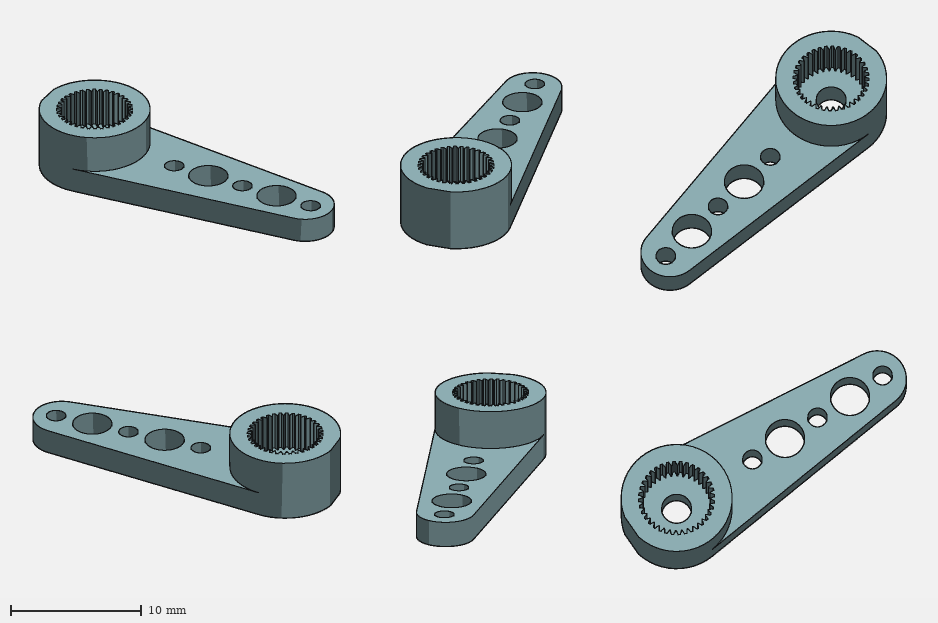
import cadquery as cq
import math

overall_length = 24.9
hub_radius = 4.25
hub_height = 5.0
arm_thickness = 2.0
tip_radius = 2.25

flat_width = 1.92
flat_distance = math.sqrt(hub_radius**2 - (flat_width / 2) ** 2)
tip_center_x = overall_length - flat_distance - tip_radius

tooth_count = 36
spline_root_radius = 2.9
spline_crest_radius = 2.6
root_land_width = 0.17
crest_land_width = 0.05
socket_depth = 3.1
screw_hole_diameter = 2.3

hole_count = 5
first_hole_x = 7.0
last_hole_x = 19.0
hole_pitch = (last_hole_x - first_hole_x) / (hole_count - 1)
small_hole_diameter = 1.5
large_hole_diameter = 3.0


def make_hub():
    """Round hub with one flat facing -X."""
    hub = cq.Workplane("XY").circle(hub_radius).extrude(hub_height)
    kept_length = flat_distance + hub_radius
    keep_box = cq.Workplane("XY").box(
        kept_length, 2 * hub_radius, hub_height, centered=(False, True, False)
    )
    return hub.intersect(keep_box.translate((-flat_distance, 0, 0)))


def make_arm():
    """Tapered plate whose straight sides are tangent to the hub and to the round tip."""
    taper_sine = (hub_radius - tip_radius) / tip_center_x
    taper_cosine = math.sqrt(1 - taper_sine**2)
    hub_x = hub_radius * taper_sine
    hub_y = hub_radius * taper_cosine
    tip_x = tip_center_x + tip_radius * taper_sine
    tip_y = tip_radius * taper_cosine
    return (
        cq.Workplane("XY")
        .moveTo(hub_x, -hub_y)
        .lineTo(tip_x, -tip_y)
        .threePointArc((tip_center_x + tip_radius, 0), (tip_x, tip_y))
        .lineTo(hub_x, hub_y)
        .close()
        .extrude(arm_thickness)
    )


def make_socket():
    """Internal spline: trapezoidal grooves around the axis, one of them centered on +X."""
    tooth_angle = 2 * math.pi / tooth_count
    root_half_angle = root_land_width / 2 / spline_root_radius
    crest_half_angle = crest_land_width / 2 / spline_crest_radius
    groove_corners = [
        (spline_crest_radius, -tooth_angle / 2 + crest_half_angle),
        (spline_root_radius, -root_half_angle),
        (spline_root_radius, root_half_angle),
        (spline_crest_radius, tooth_angle / 2 - crest_half_angle),
    ]
    outline = []
    for tooth in range(tooth_count):
        for radius, offset in groove_corners:
            angle = tooth * tooth_angle + offset
            outline.append((radius * math.cos(angle), radius * math.sin(angle)))
    socket_floor = hub_height - socket_depth
    return cq.Workplane("XY", origin=(0, 0, socket_floor)).polyline(outline).close().extrude(socket_depth)


def make_hole(x, diameter, depth):
    """Cutter for a round vertical hole through the given depth."""
    return cq.Workplane("XY").center(x, 0).circle(diameter / 2).extrude(depth)


result = make_hub().union(make_arm())
result = result.cut(make_socket())
result = result.cut(make_hole(0, screw_hole_diameter, hub_height))

for index in range(hole_count):
    diameter = small_hole_diameter if index % 2 == 0 else large_hole_diameter
    hole_x = first_hole_x + index * hole_pitch
    result = result.cut(make_hole(hole_x, diameter, arm_thickness))